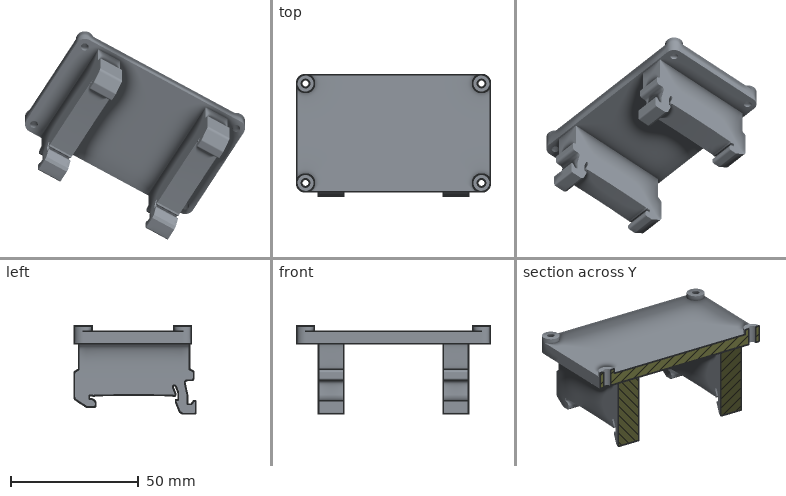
import cadquery as cq

plate_length = 76.0
plate_width = 46.0
plate_thickness = 5.0

post_diameter = 7.0
post_height = 7.0
post_hole_diameter = 3.0
post_pitch_x = plate_length - post_diameter
post_pitch_y = plate_width - post_diameter

clip_width = 10.0
clip_pitch = 49.0
rear_face = plate_width / 2
rear_wall = 21.3
front_wall = -22.3
shoulder_top = -10.0

shelf_front = -23.9
shelf_front_top = -10.9
shelf_bottom = -14.4
shelf_radius = 1.0
shelf_top_radius = 0.5

neck_front_root = -20.2
neck_front = -21.5
neck_bend = -20.25
neck_back = -17.75
root_radius = 0.9
trough_front = -22.9
trough_bottom = -23.7
lip_back = -23.85
lip_front = -24.7
lip_top = -22.4
lip_radius = 0.3
latch_bottom = -27.5
latch_bottom_back = -19.5
latch_front_radius = 0.6
catch_tip = -16.75
catch_top = -22.0
catch_tip_bottom = -22.8
latch_ramp_end = (-18.3, -26.65)

slot_front_bend = -19.1
slot_front_top = (-16.9, -16.9)
slot_crown = (-16.2, -16.4)
slot_back_top = (-15.72, -17.0)
slot_back_bottom = (-16.85, -19.8)

seat_crown = -20.1
seat_end = -20.35
foot_bottom = -20.65
front_foot_corner = (-16.55, -20.45)
front_foot_front = -16.2
front_foot_back = -15.6
rear_foot_front = 14.9
rear_foot_back = 15.4
notch_peak = (16.0, -20.2)
notch_end = 16.4

hook_throat = 17.0
hook_top = -21.65
hook_top_front = 16.2
hook_top_bulge = (15.1, -22.2)
hook_tip = 14.5
hook_tip_top = -23.2
hook_bottom = -24.85
hook_bottom_back = 18.1
hook_radius = 0.8
hook_heel = -21.65
heel_radius = 1.6
rear_shoulder = -11.2
rear_shoulder_radius = 0.8


def make_plate():
    """Plate whose four corners are rounded off by drilled screw posts."""
    long_slab = cq.Workplane("XY").rect(plate_length, post_pitch_y).extrude(plate_thickness)
    wide_slab = cq.Workplane("XY").rect(post_pitch_x, plate_width).extrude(plate_thickness)
    corners = cq.Workplane("XY").rect(post_pitch_x, post_pitch_y, forConstruction=True).vertices()
    posts = corners.circle(post_diameter / 2).extrude(post_height)
    holes = corners.circle(post_hole_diameter / 2).extrude(post_height)
    return long_slab.union(wide_slab).union(posts).cut(holes)


def clip_profile():
    """Closed clip outline in the YZ plane, from the rear top corner round by the hook to the front."""
    profile = cq.Workplane("YZ").moveTo(rear_wall, 0)

    profile = (
        profile.lineTo(rear_wall, shoulder_top)
        .lineTo(rear_face, rear_shoulder)
        .lineTo(rear_face, hook_heel)
        .lineTo(hook_bottom_back, hook_bottom)
        .lineTo(hook_tip, hook_bottom)
        .lineTo(hook_tip, hook_tip_top)
        .threePointArc(hook_top_bulge, (hook_top_front, hook_top))
        .lineTo(hook_throat, hook_top)
        .lineTo(hook_throat, seat_end)
    )

    seat_middle = (rear_foot_front + front_foot_back) / 2
    profile = (
        profile.lineTo(notch_end, seat_end)
        .lineTo(*notch_peak)
        .lineTo(rear_foot_back, foot_bottom)
        .lineTo(rear_foot_front, seat_end)
        .threePointArc((seat_middle, seat_crown), (front_foot_back, seat_end))
        .lineTo(front_foot_front, foot_bottom)
        .lineTo(*front_foot_corner)
    )

    profile = (
        profile.lineTo(*slot_back_bottom)
        .lineTo(*slot_back_top)
        .threePointArc(slot_crown, slot_front_top)
        .lineTo(neck_back, slot_front_bend)
    )

    profile = (
        profile.lineTo(neck_back, catch_top)
        .lineTo(catch_tip, catch_top)
        .lineTo(catch_tip, catch_tip_bottom)
        .lineTo(*latch_ramp_end)
        .lineTo(latch_bottom_back, latch_bottom)
        .lineTo(lip_front, latch_bottom)
        .lineTo(lip_front, lip_top)
        .lineTo(lip_back, lip_top)
        .lineTo(trough_front, trough_bottom)
        .lineTo(neck_front, trough_bottom)
    )

    profile = (
        profile.lineTo(neck_front, neck_bend)
        .lineTo(neck_front_root, shelf_bottom)
        .lineTo(shelf_front, shelf_bottom)
        .lineTo(shelf_front, shelf_front_top)
        .lineTo(front_wall, shoulder_top)
        .lineTo(front_wall, 0)
    )
    return profile.close()


def make_clip(center_x):
    """One rail clip, extruded along X about center_x, with its outline corners rounded."""
    clip = clip_profile().extrude(clip_width).translate((-clip_width / 2, 0, 0))
    rounded_corners = [
        (rear_face, rear_shoulder, rear_shoulder_radius),
        (rear_face, hook_heel, heel_radius),
        (hook_bottom_back, hook_bottom, hook_radius),
        (hook_tip, hook_bottom, hook_radius),
        (lip_front, latch_bottom, latch_front_radius),
        (lip_front, lip_top, lip_radius),
        (neck_front_root, shelf_bottom, root_radius),
        (shelf_front, shelf_bottom, shelf_radius),
        (shelf_front, shelf_front_top, shelf_top_radius),
    ]
    for y, z, radius in rounded_corners:
        clip = clip.edges("|X").edges(cq.NearestToPointSelector((0, y, z))).fillet(radius)
    return clip.translate((center_x, 0, 0))


plate = make_plate()
clips = [make_clip(side * clip_pitch / 2) for side in (-1, 1)]

result = cq.Compound.makeCompound([plate.val(), *[clip.val() for clip in clips]])